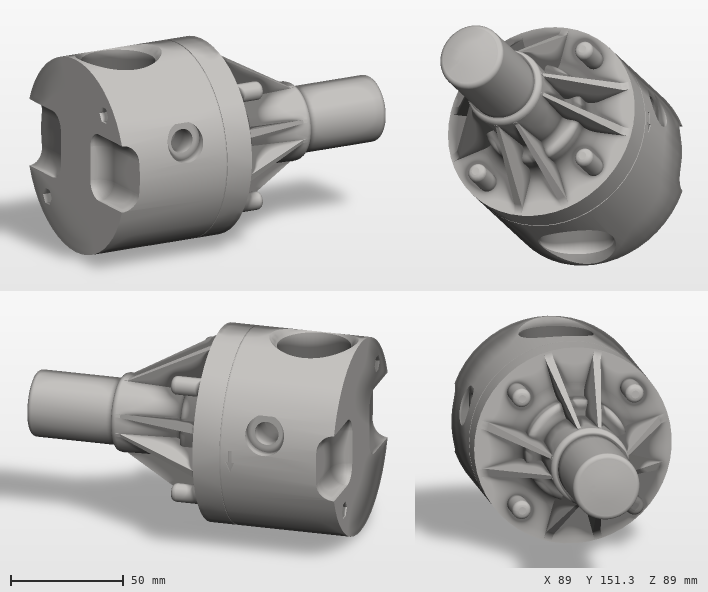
import cadquery as cq
import math

overall_length = 151.3

body_radius = 44.5
flange_top = 64.6
seam_position = 51.9
seam_width = 0.6
seam_depth = 0.3

hub_radius = 23.3
hub_top = 77.5
hub_edge_radius = 2.7
hub_root_radius = 5.1
neck_base_radius = 17.0
neck_top_radius = 17.7
neck_top = 108.2
neck_root_radius = 2.9
shaft_radius = 15.0
collar_edge_radius = neck_top_radius - shaft_radius
shaft_edge_radius = 2.3
dome_height = 1.0

rib_half_angle = 15.0
rib_root_thickness = 3.6
rib_tip_thickness = 1.5
rib_inner_radius = 9.0
rib_tip_radius = 17.8
rib_slope_top = 106.0
rib_slope_bottom = 66.7
rib_slope_bottom_radius = 40.1

pin_offset = 25.4
pin_diameter = 8.3
pin_top = 79.5
pin_edge_radius = 2.4
pin_embedment = 1.5
socket_width = 6.8
socket_depth = 4.0

slot_inner_end = 13.3
slot_width = 30.7
slot_depth = 7.5
slot_corner_radius = 7.5

main_port_y = 21.6
main_port_diameter = 33.0
main_port_rim_diameter = 40.1
main_port_floor = 23.1

side_port_y = 31.8
side_port_z = 12.5
side_port_bore = 10.9
side_port_counterbore = 17.8
side_port_counterbore_floor = 39.3
side_port_bore_end = 24.2
drill_point_angle = 118.0

arrow_y = 47.3
arrow_tail_z = 4.4
arrow_neck_z = -1.0
arrow_tip_z = -5.7
arrow_shaft_width = 1.5
arrow_head_width = 4.0
arrow_depth = 0.5


def cylinder_y(radius, start, end):
    return cq.Workplane("XZ", origin=(0, start, 0)).circle(radius).extrude(start - end)


def make_turned_body():
    """Revolve the body, flange, hub, neck, collar and domed shaft as one profile."""
    half = math.sqrt(0.5)
    dome_start = overall_length - dome_height
    shaft_face_radius = shaft_radius - shaft_edge_radius
    dome_radius = (shaft_face_radius**2 + dome_height**2) / (2 * dome_height)
    dome_mid_radius = shaft_face_radius / 2
    dome_mid = overall_length - dome_radius + math.sqrt(dome_radius**2 - dome_mid_radius**2)
    seam_floor = body_radius - seam_depth

    def corner_mid(center_radius, center_y, radius, side_r, side_y):
        return (center_radius + side_r * radius * half, center_y + side_y * radius * half)

    hub_root_center = (hub_radius + hub_root_radius, flange_top + hub_root_radius)
    hub_edge_center = (hub_radius - hub_edge_radius, hub_top - hub_edge_radius)
    neck_root_center = (neck_base_radius + neck_root_radius, hub_top + neck_root_radius)
    shaft_center = (shaft_face_radius, dome_start - shaft_edge_radius)

    profile = (
        cq.Workplane("XY")
        .lineTo(body_radius, 0)
        .lineTo(body_radius, seam_position - seam_width / 2)
        .lineTo(seam_floor, seam_position - seam_width / 2)
        .lineTo(seam_floor, seam_position + seam_width / 2)
        .lineTo(body_radius, seam_position + seam_width / 2)
        .lineTo(body_radius, flange_top)
        .lineTo(hub_root_center[0], flange_top)
        .threePointArc(corner_mid(*hub_root_center, hub_root_radius, -1, -1), (hub_radius, hub_root_center[1]))
        .lineTo(hub_radius, hub_edge_center[1])
        .threePointArc(corner_mid(*hub_edge_center, hub_edge_radius, 1, 1), (hub_edge_center[0], hub_top))
        .lineTo(neck_root_center[0], hub_top)
        .threePointArc(
            corner_mid(*neck_root_center, neck_root_radius, -1, -1), (neck_base_radius, neck_root_center[1])
        )
        .lineTo(neck_top_radius, neck_top)
        .threePointArc(
            corner_mid(shaft_radius, neck_top, collar_edge_radius, 1, 1),
            (shaft_radius, neck_top + collar_edge_radius),
        )
        .lineTo(shaft_radius, shaft_center[1])
        .threePointArc(corner_mid(*shaft_center, shaft_edge_radius, 1, 1), (shaft_face_radius, dome_start))
        .threePointArc((dome_mid_radius, dome_mid), (0, overall_length))
        .close()
    )
    return profile.revolve(360, (0, 0, 0), (0, 1, 0))


def make_rib():
    """One rib along +X: a sloped outline that thins evenly toward the collar."""
    slope = (rib_slope_bottom_radius - rib_tip_radius) / (rib_slope_top - rib_slope_bottom)
    drop = rib_slope_bottom - flange_top
    foot_length = drop * math.hypot(1, slope)
    foot_radius = rib_slope_bottom_radius + drop * slope + foot_length
    outline = (
        cq.Workplane("XY")
        .moveTo(rib_inner_radius, flange_top)
        .lineTo(rib_inner_radius, neck_top)
        .lineTo(rib_tip_radius, neck_top)
        .lineTo(rib_tip_radius, rib_slope_top)
        .lineTo(rib_slope_bottom_radius, rib_slope_bottom)
        .tangentArcPoint((foot_radius, flange_top), relative=False)
        .close()
        .extrude(rib_root_thickness, both=True)
    )
    wedge = (
        cq.Workplane("YZ")
        .moveTo(flange_top, -rib_root_thickness / 2)
        .lineTo(neck_top, -rib_tip_thickness / 2)
        .lineTo(neck_top, rib_tip_thickness / 2)
        .lineTo(flange_top, rib_root_thickness / 2)
        .close()
        .extrude(body_radius)
    )
    return outline.intersect(wedge)


def make_pin(x, z):
    pin = cylinder_y(pin_diameter / 2, flange_top - pin_embedment, pin_top)
    return pin.faces(">Y").edges().fillet(pin_edge_radius).translate((x, 0, z))


def make_socket(x, z):
    corner_diameter = socket_width / math.cos(math.radians(30))
    hexagon = cq.Workplane("XZ").polygon(6, corner_diameter).extrude(-socket_depth)
    return hexagon.translate((x, 0, z))


def make_slot():
    """Drive slot open toward +X, with a ball-shaped rounding along its inner edges."""
    slot_length = 2 * body_radius
    blank = (
        cq.Workplane("XY")
        .box(slot_length, 4 * slot_depth, slot_width)
        .translate((slot_inner_end + slot_length / 2, -slot_depth, 0))
    )
    return blank.edges("<X or (>Y and |X)").fillet(slot_corner_radius)


def make_main_port():
    """Blind bore along +Z whose mouth is opened by a 45 degree cone."""
    bore_radius = main_port_diameter / 2
    rim_radius = main_port_rim_diameter / 2
    cone_bottom = body_radius - (rim_radius - bore_radius)
    return (
        cq.Workplane("XZ", origin=(0, main_port_y, 0))
        .moveTo(0, main_port_floor)
        .lineTo(bore_radius, main_port_floor)
        .lineTo(bore_radius, cone_bottom)
        .lineTo(rim_radius, body_radius)
        .lineTo(0, body_radius)
        .close()
        .revolve(360, (0, 0, 0), (0, 1, 0))
    )


def make_side_port():
    """Counterbored blind hole along +X with a conical drill point."""
    bore_radius = side_port_bore / 2
    point_length = bore_radius / math.tan(math.radians(drill_point_angle / 2))
    return (
        cq.Workplane("XY", origin=(0, side_port_y, side_port_z))
        .moveTo(side_port_bore_end - point_length, 0)
        .lineTo(side_port_bore_end, bore_radius)
        .lineTo(side_port_counterbore_floor, bore_radius)
        .lineTo(side_port_counterbore_floor, side_port_counterbore / 2)
        .lineTo(body_radius, side_port_counterbore / 2)
        .lineTo(body_radius, 0)
        .close()
        .revolve(360, (0, 0, 0), (1, 0, 0))
    )


def make_arrow():
    """Arrow cutter that leaves a recess of even depth in the round -X side."""
    half_shaft = arrow_shaft_width / 2
    half_head = arrow_head_width / 2
    arrow = (
        cq.Workplane("YZ")
        .moveTo(arrow_y - half_shaft, arrow_tail_z)
        .lineTo(arrow_y + half_shaft, arrow_tail_z)
        .lineTo(arrow_y + half_shaft, arrow_neck_z)
        .lineTo(arrow_y + half_head, arrow_neck_z)
        .lineTo(arrow_y, arrow_tip_z)
        .lineTo(arrow_y - half_head, arrow_neck_z)
        .lineTo(arrow_y - half_shaft, arrow_neck_z)
        .close()
        .extrude(-body_radius)
    )
    return arrow.cut(cylinder_y(body_radius - arrow_depth, 0, flange_top))


result = make_turned_body()

rib = make_rib()
for axis_angle in (0, 90, 180, 270):
    for side in (-1, 1):
        angle = axis_angle + side * rib_half_angle
        result = result.union(rib.rotate((0, 0, 0), (0, 1, 0), angle))

for x_side in (-1, 1):
    for z_side in (-1, 1):
        result = result.union(make_pin(x_side * pin_offset, z_side * pin_offset))

slot = make_slot()
main_port = make_main_port()
side_port = make_side_port()
for side in (-1, 1):
    result = result.cut(make_socket(side * pin_offset, side * pin_offset))
result = result.cut(slot).cut(slot.mirror("YZ"))
result = result.cut(main_port).cut(main_port.mirror("XY"))
result = result.cut(side_port).cut(side_port.mirror("YZ"))
result = result.cut(make_arrow())